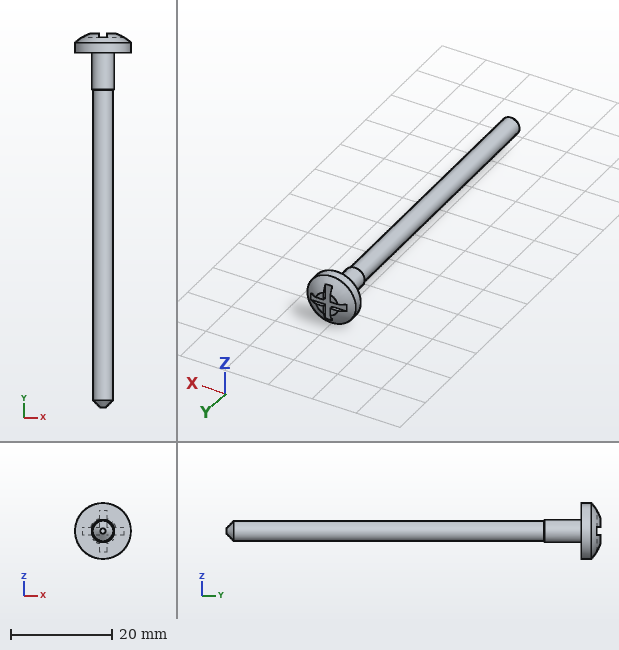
import cadquery as cq

total_length = 73.8
head_diameter = 11.1
rim_thickness = 2.0
crown_height = 1.85
crown_flat_diameter = 5.2
crown_radius = 8.1

shoulder_diameter = 4.5
shoulder_length = 7.15
shank_diameter = 4.0
tip_diameter = 1.0

slot_width = 1.55
slot_depth = 0.75

head_radius = head_diameter / 2
shoulder_radius = shoulder_diameter / 2
shank_radius = shank_diameter / 2
tip_radius = tip_diameter / 2

tip_length = shank_radius - tip_radius
shoulder_taper_length = shoulder_radius - shank_radius

tip_end = -total_length / 2
head_top = total_length / 2
rim_top = head_top - crown_height
head_underside = rim_top - rim_thickness
shoulder_end = head_underside - shoulder_length


def turned_body():
    """Half profile in the XY plane, revolved about the Y axis."""
    return (
        cq.Workplane("XY")
        .moveTo(0, tip_end)
        .lineTo(tip_radius, tip_end)
        .lineTo(shank_radius, tip_end + tip_length)
        .lineTo(shank_radius, shoulder_end - shoulder_taper_length)
        .lineTo(shoulder_radius, shoulder_end)
        .lineTo(shoulder_radius, head_underside)
        .lineTo(head_radius, head_underside)
        .lineTo(head_radius, rim_top)
        .radiusArc((crown_flat_diameter / 2, head_top), -crown_radius)
        .lineTo(0, head_top)
        .close()
        .revolve(360, (0, 0, 0), (0, 1, 0))
    )


def cross_slots():
    """Two slots crossing at the axis, open at the top and across the crown."""
    slot_center = (0, head_top - slot_depth / 2, 0)
    along_x = cq.Workplane("XY").box(head_diameter, slot_depth, slot_width)
    along_z = cq.Workplane("XY").box(slot_width, slot_depth, head_diameter)
    return along_x.union(along_z).translate(slot_center)


result = turned_body().cut(cross_slots())